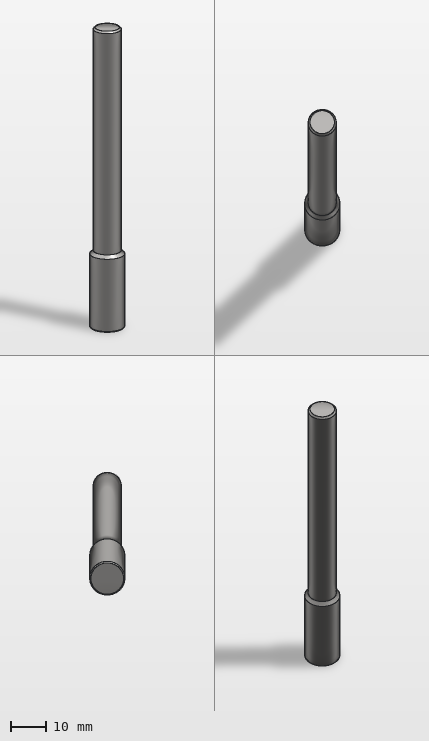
import cadquery as cq

total_length = 90.0
head_diameter = 10.0
shank_diameter = 8.0
head_length = 23.0
foot_chamfer = 0.4
tip_chamfer = 0.5

shoulder_chamfer = (head_diameter - shank_diameter) / 2
shank_length = total_length - head_length


def make_head():
    """Thick lower cylinder with a bevelled foot and a tapered shoulder."""
    head = cq.Workplane("XY").circle(head_diameter / 2).extrude(head_length)
    head = head.faces("<Z").chamfer(foot_chamfer)
    return head.faces(">Z").chamfer(shoulder_chamfer)


def make_shank():
    """Slim cylinder standing on the head, with a bevelled tip."""
    shank = cq.Workplane("XY", origin=(0, 0, head_length))
    shank = shank.circle(shank_diameter / 2).extrude(shank_length)
    return shank.faces(">Z").chamfer(tip_chamfer)


head = make_head()
shank = make_shank()

result = cq.Compound.makeCompound([head.val(), shank.val()])